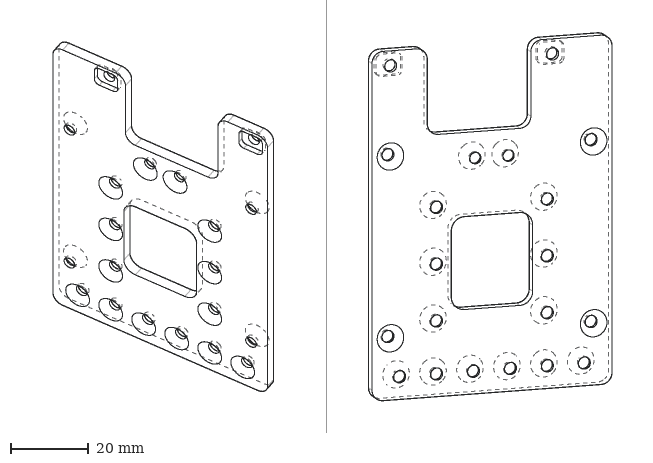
import cadquery as cq

WIDTH = 65.0
HEIGHT = 92.25
THICKNESS = 3.0
CORNER_RADIUS = 3.0

NOTCH_WIDTH = 28.0
NOTCH_DEPTH = 23.0
NOTCH_CENTER_X = 3.5

WINDOW_WIDTH = 22.0
WINDOW_HEIGHT = 24.5
WINDOW_CENTER_Z = 34.75
WINDOW_RADIUS = 3.5

HOLE_DIAMETER = 3.2
SMALL_HOLE_DIAMETER = 3.0
SINK_DIAMETER = 7.2
SINK_ANGLE = 90.0

BOTTOM_ROW_COUNT = 6
BOTTOM_ROW_PITCH = 10.0
BOTTOM_ROW_Z = 6.0

SIDE_COLUMN_X = 15.0
SIDE_COLUMN_PITCH = 15.0
SIDE_COLUMN_CENTER_Z = 35.0

PAIR_SPACING = 9.0
PAIR_Z = HEIGHT - 30.0

EDGE_HOLE_SPACING_X = 55.0
EDGE_HOLE_SPACING_Z = 48.0
EDGE_HOLE_CENTER_Z = 40.35

POCKET_WIDTH = 7.1
POCKET_HEIGHT = 5.9
POCKET_RADIUS = 1.5
POCKET_DEPTH = 1.5
POCKET_CENTERS_X = (-16.4, 27.4)
POCKET_CENTER_Z = HEIGHT - 4.0


def front_plane():
    """Sketch plane on the front face: local x is X, local y is Z, normal is -Y."""
    return cq.Workplane("XZ")


def rounded_block(width, height, depth, radius, center_x, center_z):
    """Block running from the front face into the plate, its four corners rounded."""
    return (
        front_plane()
        .center(center_x, center_z)
        .rect(width, height)
        .extrude(-depth)
        .edges("|Y")
        .fillet(radius)
    )


def make_plate():
    """Plate outline with the top notch; every outline corner has the same radius."""
    left = -WIDTH / 2
    right = WIDTH / 2
    notch_left = NOTCH_CENTER_X - NOTCH_WIDTH / 2
    notch_right = NOTCH_CENTER_X + NOTCH_WIDTH / 2
    notch_floor = HEIGHT - NOTCH_DEPTH
    outline = [
        (left, 0),
        (right, 0),
        (right, HEIGHT),
        (notch_right, HEIGHT),
        (notch_right, notch_floor),
        (notch_left, notch_floor),
        (notch_left, HEIGHT),
        (left, HEIGHT),
    ]
    plate = front_plane().polyline(outline).close().extrude(-THICKNESS)
    return plate.edges("|Y").fillet(CORNER_RADIUS)


def cut_window(plate):
    return plate.cut(
        rounded_block(WINDOW_WIDTH, WINDOW_HEIGHT, THICKNESS, WINDOW_RADIUS, 0, WINDOW_CENTER_Z)
    )


def cut_pockets(plate):
    """Rounded pockets in the front face of the two arms."""
    for x in POCKET_CENTERS_X:
        plate = plate.cut(
            rounded_block(POCKET_WIDTH, POCKET_HEIGHT, POCKET_DEPTH, POCKET_RADIUS, x, POCKET_CENTER_Z)
        )
    return plate


def drill_plain(plate, points):
    drills = front_plane().pushPoints(points).circle(HOLE_DIAMETER / 2).extrude(-THICKNESS)
    return plate.cut(drills)


def drill_countersunk(plate, points, diameter):
    """Through holes countersunk from the front face."""
    return (
        plate.copyWorkplane(front_plane())
        .pushPoints(points)
        .cskHole(diameter, SINK_DIAMETER, SINK_ANGLE)
    )


def drill_back_countersunk(plate, points, diameter):
    """Through holes countersunk from the back face, whose local x runs along -X."""
    back_plane = cq.Workplane(cq.Plane(origin=(0, THICKNESS, 0), xDir=(-1, 0, 0), normal=(0, 1, 0)))
    return (
        plate.copyWorkplane(back_plane)
        .pushPoints([(-x, z) for x, z in points])
        .cskHole(diameter, SINK_DIAMETER, SINK_ANGLE)
    )


bottom_row = [
    ((i - (BOTTOM_ROW_COUNT - 1) / 2) * BOTTOM_ROW_PITCH, BOTTOM_ROW_Z)
    for i in range(BOTTOM_ROW_COUNT)
]
side_columns = [
    (side * SIDE_COLUMN_X, SIDE_COLUMN_CENTER_Z + step * SIDE_COLUMN_PITCH)
    for side in (-1, 1)
    for step in (-1, 0, 1)
]
upper_pair = [(side * PAIR_SPACING / 2, PAIR_Z) for side in (-1, 1)]
edge_holes = [
    (side * EDGE_HOLE_SPACING_X / 2, EDGE_HOLE_CENTER_Z + end * EDGE_HOLE_SPACING_Z / 2)
    for side in (-1, 1)
    for end in (-1, 1)
]
pocket_holes = [(x, POCKET_CENTER_Z) for x in POCKET_CENTERS_X]

result = make_plate()
result = cut_window(result)
result = cut_pockets(result)
result = drill_plain(result, pocket_holes)
result = drill_back_countersunk(result, edge_holes, HOLE_DIAMETER)
result = drill_countersunk(result, bottom_row + side_columns, HOLE_DIAMETER)
result = drill_countersunk(result, upper_pair, SMALL_HOLE_DIAMETER)